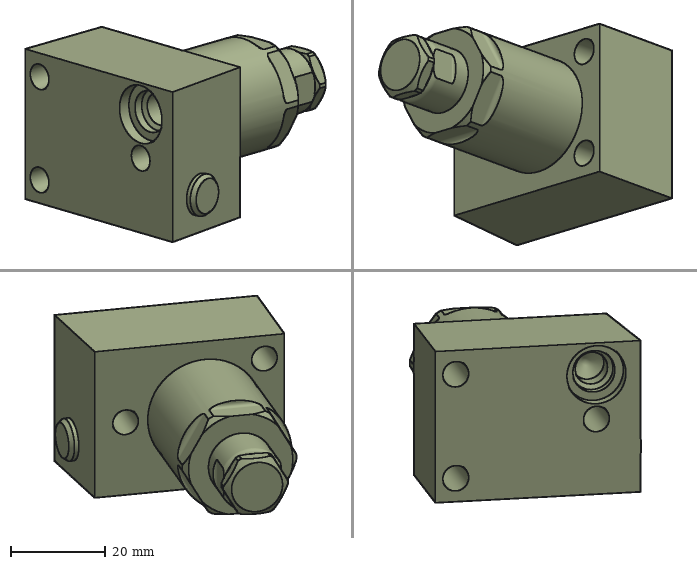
import cadquery as cq
import math

block_length = 44.5
block_depth = 23.0
block_height = 33.35
end_face_tilt = 7.0

mount_hole_diameter = 5.6
mount_hole_places = [(4.4, 5.2), (4.4, 28.1), (34.9, 16.6)]

port_x = 34.9
port_z = 26.35
port_recess_diameter = 12.8
port_recess_depth = 2.8
port_thread_diameter = 9.1
port_thread_depth = 4.8
port_core_diameter = 7.0
port_core_length = 4.0
drill_tip_angle = 118.0

plug_diameter = 9.2
plug_height = 2.0
plug_chamfer_length = 1.0
plug_chamfer_drop = 0.75
plug_embed = 1.0
plug_y = 9.35
plug_z = 8.4

stem_x = 17.5
stem_z = block_height / 2
barrel_diameter = 25.1
barrel_end = 53.1
barrel_end_chamfer = 1.1
barrel_hex_across_flats = 22.35
barrel_hex_start = 47.8
barrel_flat_fillet = 0.9

neck_diameter = 14.2
neck_end = 63.3
neck_end_round = 1.2
neck_across_flats = 12.6
neck_flat_start = 57.0
neck_flat_fillet = 0.5

tip_diameter = 14.2
tip_across_flats = 12.7
tip_end = 66.8
tip_outer_chamfer_length = 1.1
tip_outer_chamfer_drop = 1.5
tip_inner_chamfer_length = 0.55
tip_inner_chamfer_drop = 0.95

hex_angles = range(30, 390, 60)
neck_flat_angles = (0, 180)


def turned(profile, x, z):
    """Solid of revolution about the Y-parallel axis at (x, z); profile holds (radius, y) points."""
    shape = cq.Workplane("XY").polyline(profile).close().revolve(360, (0, 0, 0), (0, 1, 0))
    return shape.translate((x, 0, z))


def flat_cutter(apothem, reach, y_start, y_end, root_fillet, angle):
    """Material outside one flat, with a rounded root at y_start; angle turns it about the stem axis."""
    width = 2 * reach
    cutter = cq.Workplane("XY").box(reach, y_end - y_start, width, centered=(False, False, True))
    cutter = cutter.translate((apothem, y_start, 0))
    if root_fillet:
        cutter = cutter.edges("<X and <Y").fillet(root_fillet)
    cutter = cutter.rotate((0, 0, 0), (0, 1, 0), angle)
    return cutter.translate((stem_x, 0, stem_z))


def cut_flats(body, across_flats, diameter, y_start, y_end, root_fillet, angles):
    """Mill one flat per angle into a stem section, from y_start to y_end."""
    for angle in angles:
        body = body.cut(flat_cutter(across_flats / 2, diameter, y_start, y_end, root_fillet, angle))
    return body


def make_block():
    tilt_run = block_depth * math.tan(math.radians(end_face_tilt))
    outline = [
        (0, 0),
        (block_length, 0),
        (block_length - tilt_run, block_depth),
        (0, block_depth),
    ]
    return cq.Workplane("XY").polyline(outline).close().extrude(block_height)


def make_plug():
    """Round plug standing square to the tilted end face; its turning profile starts inside the block."""
    radius = plug_diameter / 2
    profile = [
        (0, -plug_embed),
        (radius, -plug_embed),
        (radius, plug_height - plug_chamfer_length),
        (radius - plug_chamfer_drop, plug_height),
        (0, plug_height),
    ]
    plug_x = block_length - plug_y * math.tan(math.radians(end_face_tilt))
    plug = turned(profile, 0, 0)
    plug = plug.rotate((0, 0, 0), (0, 0, 1), end_face_tilt - 90)
    return plug.translate((plug_x, plug_y, plug_z))


def make_barrel():
    radius = barrel_diameter / 2
    profile = [
        (0, block_depth),
        (radius, block_depth),
        (radius, barrel_end - barrel_end_chamfer),
        (radius - barrel_end_chamfer, barrel_end),
        (0, barrel_end),
    ]
    barrel = turned(profile, stem_x, stem_z)
    return cut_flats(
        barrel, barrel_hex_across_flats, barrel_diameter,
        barrel_hex_start, tip_end, barrel_flat_fillet, hex_angles,
    )


def make_neck():
    neck = cq.Workplane("XZ", origin=(stem_x, barrel_end, stem_z)).circle(neck_diameter / 2)
    neck = neck.extrude(barrel_end - neck_end)
    neck = neck.faces(">Y").edges().fillet(neck_end_round)
    return cut_flats(
        neck, neck_across_flats, neck_diameter,
        neck_flat_start, tip_end, neck_flat_fillet, neck_flat_angles,
    )


def make_tip():
    radius = tip_diameter / 2
    profile = [
        (0, neck_end),
        (radius - tip_inner_chamfer_drop, neck_end),
        (radius, neck_end + tip_inner_chamfer_length),
        (radius, tip_end - tip_outer_chamfer_length),
        (radius - tip_outer_chamfer_drop, tip_end),
        (0, tip_end),
    ]
    tip = turned(profile, stem_x, stem_z)
    return cut_flats(tip, tip_across_flats, tip_diameter, barrel_end, tip_end, 0, hex_angles)


def make_port():
    recess_radius = port_recess_diameter / 2
    thread_radius = port_thread_diameter / 2
    core_radius = port_core_diameter / 2
    tip_slope = math.tan(math.radians(drill_tip_angle / 2))
    core_start = port_thread_depth + (thread_radius - core_radius) / tip_slope
    core_end = core_start + port_core_length
    profile = [
        (0, 0),
        (recess_radius, 0),
        (recess_radius, port_recess_depth),
        (thread_radius, port_recess_depth),
        (thread_radius, port_thread_depth),
        (core_radius, core_start),
        (core_radius, core_end),
        (0, core_end + core_radius / tip_slope),
    ]
    return turned(profile, port_x, port_z)


def make_mount_holes():
    holes = cq.Workplane("XZ").pushPoints(mount_hole_places).circle(mount_hole_diameter / 2)
    return holes.extrude(-block_depth)


result = make_block().union(make_plug())
result = result.union(make_barrel()).union(make_neck()).union(make_tip())
result = result.cut(make_port()).cut(make_mount_holes())